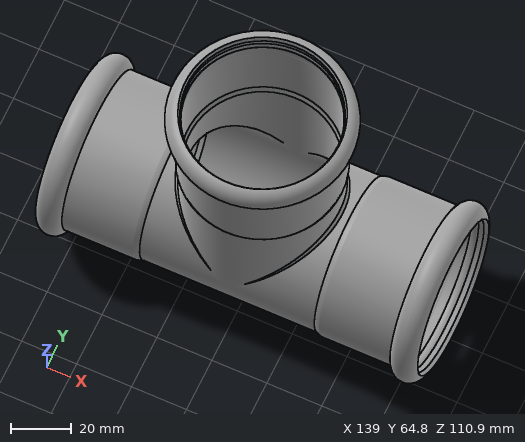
import cadquery as cq
import math

run_length = 139.0
bead_radius = 32.4
total_height = 110.9
branch_height = total_height - bead_radius

tube_outer = 56.0 / 2
tube_bore = 53.0 / 2
socket_outer = 57.5 / 2
socket_bore = 54.5 / 2
lip_bore = 54.8 / 2
mouth_radius = tube_outer

bead_width = 9.7
lead_in_depth = 1.5
socket_depth = 35.6
step_end = 37.7
bead_taper = 0.5

step_mid_radius = 28.5

seal_inner = 27.0
seal_depth = bead_width / 2
seal_half_width = 1.4

blend_leg = 1.1
blend_side_gap = 0.03


def outer_arm(length):
    """Solid arm along +Z from the tee centre to its beaded mouth."""
    step_middle = (socket_depth + step_end) / 2
    return (
        cq.Workplane("XZ")
        .moveTo(0, 0)
        .lineTo(tube_outer, 0)
        .lineTo(tube_outer, length - step_end)
        .threePointArc((step_mid_radius, length - step_middle), (socket_outer, length - socket_depth))
        .lineTo(socket_outer, length - bead_width)
        .threePointArc((bead_radius, length - bead_width / 2), (mouth_radius, length))
        .lineTo(0, length)
        .close()
        .revolve(360, (0, 0, 0), (0, 1, 0))
    )


def arm_cavity(length):
    """Open bore of one arm, with the seal standing proud of the lip bore."""
    return (
        cq.Workplane("XZ")
        .moveTo(0, 0)
        .lineTo(tube_bore, 0)
        .lineTo(tube_bore, length - step_end)
        .lineTo(socket_bore, length - socket_depth)
        .lineTo(socket_bore, length - bead_width)
        .lineTo(lip_bore, length - bead_width + bead_taper)
        .lineTo(lip_bore, length - seal_depth - seal_half_width)
        .threePointArc((seal_inner, length - seal_depth), (lip_bore, length - seal_depth + seal_half_width))
        .lineTo(lip_bore, length - lead_in_depth)
        .lineTo(mouth_radius, length)
        .lineTo(0, length)
        .close()
        .revolve(360, (0, 0, 0), (0, 1, 0))
    )


def corner_blend():
    """Half-elliptic bar lying across the +X corner, tapering to nothing at the sides."""
    reach = (2 * tube_outer + blend_leg) / math.sqrt(2)
    across_corner = cq.Plane(origin=(0, 0, 0), xDir=(1, 0, 1), normal=(1, 0, -1))
    return (
        cq.Workplane(across_corner)
        .ellipseArc(reach, tube_outer - blend_side_gap, -90, 90, startAtCurrent=False)
        .close()
        .extrude(blend_leg, both=True)
    )


def tee(arm):
    """Join two opposite run arms and the upright branch."""
    run_arm = arm(run_length / 2)
    body = arm(branch_height)
    for angle in (-90, 90):
        body = body.union(run_arm.rotate((0, 0, 0), (0, 1, 0), angle))
    return body


blend = corner_blend()
outside = tee(outer_arm).union(blend).union(blend.mirror("YZ"))
result = outside.cut(tee(arm_cavity))